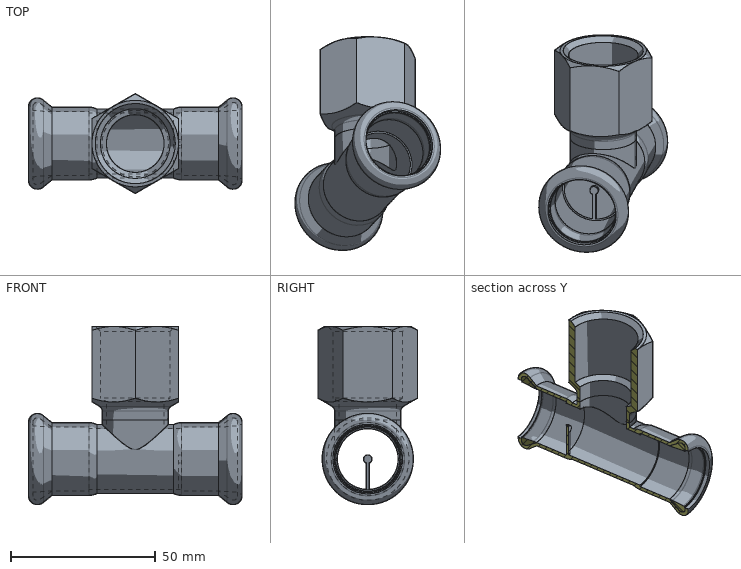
import cadquery as cq
import math

run_half_length = 37.0
tube_radius = 24.0 / 2
tube_bore_radius = 21.0 / 2
socket_radius = 25.3 / 2
socket_bore_radius = 22.2 / 2
tube_half_length = 13.3
socket_inner_end = 16.05
socket_outer_end = 28.85

bead_top_radius = 15.8
bead_arc_radius = 3.1
bead_wall = 1.55
mouth_radius = 24.1 / 2
bead_center_x = run_half_length - bead_arc_radius
bead_center_radius = bead_top_radius - bead_arc_radius
cavity_arc_radius = bead_arc_radius - bead_wall
seal_front_radius = 23.2 / 2
seal_entry_radius = 23.0 / 2
seal_entry_length = 0.5
seal_throat_x = 30.1

neck_radius = 23.0 / 2
branch_bore_radius = 20.0 / 2
joint_height = 13.6

hex_flats = 30.0
hex_corner_radius = hex_flats / math.sqrt(3)
hex_top = 61.8 - bead_top_radius
hex_lower_corner = 21.1
hex_cone_angle = math.radians(30)
neck_fillet = 1.85
thread_radius = 24.1 / 2
thread_end = 21.1
bevel_radius = 27.75 / 2
bevel_depth = 1.7

tab_head_radius = 1.5
tab_stem_width = 1.2
tab_thickness = 1.1
tab_embed = 0.75

X_AXIS = ((0, 0, 0), (1, 0, 0))
Z_AXIS = ((0, 0, 0), (0, 1, 0))


def bead_arc_point(radius, degrees):
    """Point at an angle on a circle about the bead center, as (x, distance from the run axis)."""
    angle = math.radians(degrees)
    return (bead_center_x + radius * math.cos(angle), bead_center_radius + radius * math.sin(angle))


def add_bead_arc(outline, radius):
    """Arc from the radial wall at the mouth, over the top, to the start of the cone."""
    return outline.threePointArc(bead_arc_point(radius, 70), bead_arc_point(radius, 135))


def run_outside():
    """Solid half run on +X, from the middle to the bead."""
    outline = (
        cq.Workplane("XZ")
        .lineTo(run_half_length, 0)
        .lineTo(run_half_length, bead_center_radius)
    )
    return (
        add_bead_arc(outline, bead_arc_radius)
        .lineTo(socket_outer_end, socket_radius)
        .lineTo(socket_inner_end, socket_radius)
        .tangentArcPoint((tube_half_length, tube_radius), relative=False)
        .lineTo(0, tube_radius)
        .close()
        .revolve(360, *X_AXIS)
    )


def run_inside():
    """Space inside the half run on +X: bore, socket, seal cavity and mouth."""
    cavity_wall_x = bead_center_x + cavity_arc_radius
    outline = (
        cq.Workplane("XZ")
        .lineTo(run_half_length, 0)
        .lineTo(run_half_length, mouth_radius)
        .lineTo(cavity_wall_x, mouth_radius)
        .lineTo(cavity_wall_x, bead_center_radius)
    )
    return (
        add_bead_arc(outline, cavity_arc_radius)
        .lineTo(socket_outer_end, socket_bore_radius)
        .lineTo(socket_inner_end, socket_bore_radius)
        .lineTo(socket_inner_end, tube_bore_radius)
        .lineTo(0, tube_bore_radius)
        .close()
        .revolve(360, *X_AXIS)
    )


def both_ends(half):
    """Half run on +X joined with its copy turned to -X."""
    return half.union(half.rotate((0, 0, 0), (0, 0, 1), 180)).clean()


def make_tab():
    """Disc on the run axis with a stem down to the tube wall, flush with the +X stop shoulder."""
    stem_length = tube_bore_radius + tab_embed
    plane = cq.Workplane("YZ", origin=(socket_inner_end - tab_thickness, 0, 0))
    head = plane.circle(tab_head_radius).extrude(tab_thickness)
    stem = plane.center(0, -stem_length / 2).rect(tab_stem_width, stem_length).extrude(tab_thickness)
    return head.union(stem)


def make_tee():
    neck = cq.Workplane("XY").circle(neck_radius).extrude(joint_height)
    branch_bore = cq.Workplane("XY").circle(branch_bore_radius).extrude(joint_height)
    body = both_ends(run_outside()).union(neck)
    return body.cut(both_ends(run_inside())).cut(branch_bore).union(make_tab())


def make_seal():
    """Seal on +X, filling the bead cavity with a bore that tapers inward to the socket bore."""
    front = bead_center_x + cavity_arc_radius
    entry_x = front - (seal_front_radius - seal_entry_radius)
    outline = (
        cq.Workplane("XZ")
        .moveTo(socket_outer_end, socket_bore_radius)
        .lineTo(seal_throat_x, socket_bore_radius)
        .lineTo(entry_x - seal_entry_length, seal_entry_radius)
        .lineTo(entry_x, seal_entry_radius)
        .lineTo(front, seal_front_radius)
        .lineTo(front, bead_center_radius)
    )
    return (
        add_bead_arc(outline, cavity_arc_radius)
        .close()
        .revolve(360, *X_AXIS)
    )


def hex_envelope():
    """Turned shape that chamfers both ends of the hexagon and forms the neck below it."""
    slope = math.tan(hex_cone_angle)
    flat_radius = hex_flats / 2
    upper_corner = hex_top - (hex_corner_radius - flat_radius) * slope
    fillet_turn = math.pi / 2 - hex_cone_angle
    fillet_top_radius = neck_radius + neck_fillet * (1 - math.cos(fillet_turn))
    fillet_top = hex_lower_corner - (hex_corner_radius - fillet_top_radius) * slope
    fillet_bottom = fillet_top - neck_fillet * math.sin(fillet_turn)
    return (
        cq.Workplane("XZ")
        .moveTo(0, joint_height)
        .lineTo(neck_radius, joint_height)
        .lineTo(neck_radius, fillet_bottom)
        .tangentArcPoint((fillet_top_radius, fillet_top), relative=False)
        .lineTo(hex_corner_radius, hex_lower_corner)
        .lineTo(hex_corner_radius, upper_corner)
        .lineTo(flat_radius, hex_top)
        .lineTo(0, hex_top)
        .close()
        .revolve(360, *Z_AXIS)
    )


def hex_bore():
    """Beveled threaded bore narrowing through a cone to the branch bore."""
    cone_bottom = thread_end - (thread_radius - branch_bore_radius) * math.tan(hex_cone_angle)
    return (
        cq.Workplane("XZ")
        .moveTo(0, joint_height)
        .lineTo(branch_bore_radius, joint_height)
        .lineTo(branch_bore_radius, cone_bottom)
        .lineTo(thread_radius, thread_end)
        .lineTo(thread_radius, hex_top - bevel_depth)
        .lineTo(bevel_radius, hex_top)
        .lineTo(0, hex_top)
        .close()
        .revolve(360, *Z_AXIS)
    )


def make_hex_socket():
    """Hexagon with corners on +Y and -Y, on a round neck."""
    prism = (
        cq.Workplane("XY", origin=(0, 0, joint_height))
        .polygon(6, 2 * hex_corner_radius)
        .extrude(hex_top - joint_height)
        .rotate((0, 0, 0), (0, 0, 1), 90)
    )
    return prism.intersect(hex_envelope()).cut(hex_bore())


tee = make_tee()
hex_socket = make_hex_socket()
seals = [make_seal().rotate((0, 0, 0), (0, 0, 1), angle) for angle in (0, 180)]

result = cq.Compound.makeCompound([tee.val(), hex_socket.val(), *[seal.val() for seal in seals]])